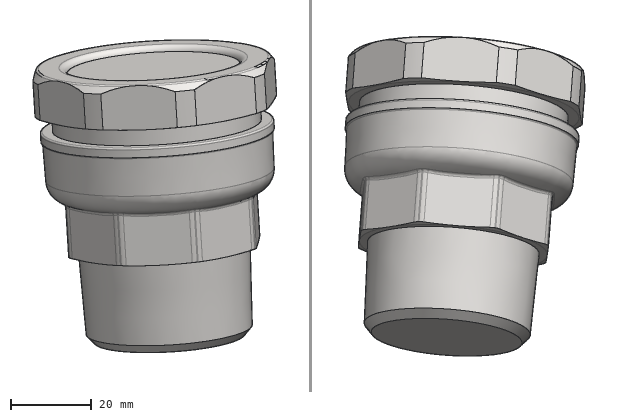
import cadquery as cq
import math

LEAN_ANGLE = 10
SIDES = 8
HALF_SIDE_ANGLE = 180 / SIDES

SPIGOT_TOP = 22.9
BOWL_TOP = 41.5
RING_BOTTOM = 51.3
RING_TOP = 53.8
NUT_BOTTOM = 58.2
NUT_TOP = 69.7

SPIGOT_TIP_RADIUS = 20.7
SPIGOT_ROOT_RADIUS = 21.35
SPIGOT_CHAMFER_WIDTH = 1.9
SPIGOT_CHAMFER_HEIGHT = 2.15

COLLAR_CORNER_RADIUS = 25.0
COLLAR_FLAT_DISTANCE = 23.35
COLLAR_CORNER_BLEND = 3.2
COLLAR_CHAMFER_HEIGHT = 0.3

BOWL_RADIUS = 28.4
BOWL_ROUNDING = 5.4
MOUTH_RADIUS = 28.65
BOWL_COLLAR_BLEND = 0.85
SEAM_MARGIN = 0.8
RING_RADIUS = 29.0
RING_TOP_BLEND = 0.45
RING_STEP_BLEND = 0.3
NECK_RADIUS = 26.0

NUT_CORNER_RADIUS = 30.5
NUT_FLAT_DISTANCE = 29.0
NUT_TURN = -4.7
NUT_TOP_CHAMFER_WIDTH = 1.5
NUT_TOP_CHAMFER_HEIGHT = 2.0
NUT_TOP_BLEND = 0.8
NUT_BOTTOM_CHAMFER_WIDTH = 1.85
NUT_BOTTOM_CHAMFER_HEIGHT = 0.4

RECESS_RIM_RADIUS = 23.4
RECESS_DEPTH = 1.5
RECESS_RIM_ROUNDING = 2.0


def octagon(flat_distance, bottom, top):
    """Octagonal prism with a corner pointing along +X."""
    corner_diameter = 2 * flat_distance / math.cos(math.radians(HALF_SIDE_ANGLE))
    return cq.Workplane("XY", origin=(0, 0, bottom)).polygon(SIDES, corner_diameter).extrude(top - bottom)


def disc(radius, bottom, top):
    return cq.Workplane("XY", origin=(0, 0, bottom)).circle(radius).extrude(top - bottom)


def spin(outline):
    """Solid of revolution about the fitting's axis."""
    return outline.revolve(360, (0, 0), (0, 1))


def make_spigot():
    outline = (
        cq.Workplane("XZ")
        .lineTo(SPIGOT_TIP_RADIUS - SPIGOT_CHAMFER_WIDTH, 0)
        .lineTo(SPIGOT_TIP_RADIUS, SPIGOT_CHAMFER_HEIGHT)
        .lineTo(SPIGOT_ROOT_RADIUS, SPIGOT_TOP)
        .lineTo(0, SPIGOT_TOP)
        .close()
    )
    return spin(outline)


def make_collar():
    """Octagon with turned, blended corners and a shallow conical chamfer underneath."""
    turned = disc(COLLAR_CORNER_RADIUS, SPIGOT_TOP, BOWL_TOP)
    collar = octagon(COLLAR_FLAT_DISTANCE, SPIGOT_TOP, BOWL_TOP).intersect(turned)
    collar = collar.edges("|Z").fillet(COLLAR_CORNER_BLEND)
    chamfer_width = COLLAR_CORNER_RADIUS - COLLAR_FLAT_DISTANCE
    chamfered = turned.faces("<Z").chamfer(COLLAR_CHAMFER_HEIGHT, chamfer_width)
    return collar.intersect(chamfered)


def make_bowl():
    """Rounded bowl widening slightly to its mouth, closed by the ring."""
    bottom_radius = BOWL_RADIUS - BOWL_ROUNDING
    bowl_bottom = BOWL_TOP - BOWL_ROUNDING
    outline = (
        cq.Workplane("XZ")
        .moveTo(0, bowl_bottom)
        .lineTo(bottom_radius, bowl_bottom)
        .tangentArcPoint((BOWL_RADIUS, BOWL_TOP), relative=False)
        .lineTo(MOUTH_RADIUS, RING_BOTTOM - RING_STEP_BLEND)
        .tangentArcPoint((MOUTH_RADIUS + RING_STEP_BLEND, RING_BOTTOM), relative=False)
        .lineTo(RING_RADIUS, RING_BOTTOM)
        .lineTo(RING_RADIUS, RING_TOP - RING_TOP_BLEND)
        .tangentArcPoint((RING_RADIUS - RING_TOP_BLEND, RING_TOP), relative=False)
        .lineTo(0, RING_TOP)
        .close()
    )
    return spin(outline)


def make_collar_and_bowl():
    """Collar running up into the bowl, with the seam between them rounded."""
    body = make_collar().union(make_bowl())
    bowl_bottom = BOWL_TOP - BOWL_ROUNDING
    seam = cq.selectors.BoxSelector(
        (-BOWL_RADIUS, -BOWL_RADIUS, bowl_bottom - SEAM_MARGIN),
        (BOWL_RADIUS, BOWL_RADIUS, bowl_bottom + SEAM_MARGIN),
    )
    return body.edges(seam).fillet(BOWL_COLLAR_BLEND)


def make_recess():
    """Recess whose rim curves down from the nut's face to a flat floor."""
    rim_width = math.sqrt(2 * RECESS_RIM_ROUNDING * RECESS_DEPTH - RECESS_DEPTH**2)
    floor = NUT_TOP - RECESS_DEPTH
    outline = (
        cq.Workplane("XZ")
        .moveTo(0, NUT_TOP)
        .lineTo(RECESS_RIM_RADIUS, NUT_TOP)
        .radiusArc((RECESS_RIM_RADIUS - rim_width, floor), -RECESS_RIM_ROUNDING)
        .lineTo(0, floor)
        .close()
    )
    return spin(outline)


def make_nut():
    """Octagonal nut with turned corners, chamfered above and below."""
    turned = (
        disc(NUT_CORNER_RADIUS, NUT_BOTTOM, NUT_TOP)
        .faces(">Z")
        .chamfer(NUT_TOP_CHAMFER_HEIGHT, NUT_TOP_CHAMFER_WIDTH)
        .faces(">Z")
        .edges()
        .fillet(NUT_TOP_BLEND)
        .faces("<Z")
        .chamfer(NUT_BOTTOM_CHAMFER_HEIGHT, NUT_BOTTOM_CHAMFER_WIDTH)
    )
    prism = octagon(NUT_FLAT_DISTANCE, NUT_BOTTOM, NUT_TOP).rotate((0, 0, 0), (0, 0, 1), NUT_TURN)
    return turned.intersect(prism).cut(make_recess())


fitting = (
    make_spigot()
    .union(make_collar_and_bowl())
    .union(disc(NECK_RADIUS, RING_TOP, NUT_BOTTOM))
    .union(make_nut())
)
result = fitting.rotate((0, 0, 0), (0, 1, 0), -LEAN_ANGLE)